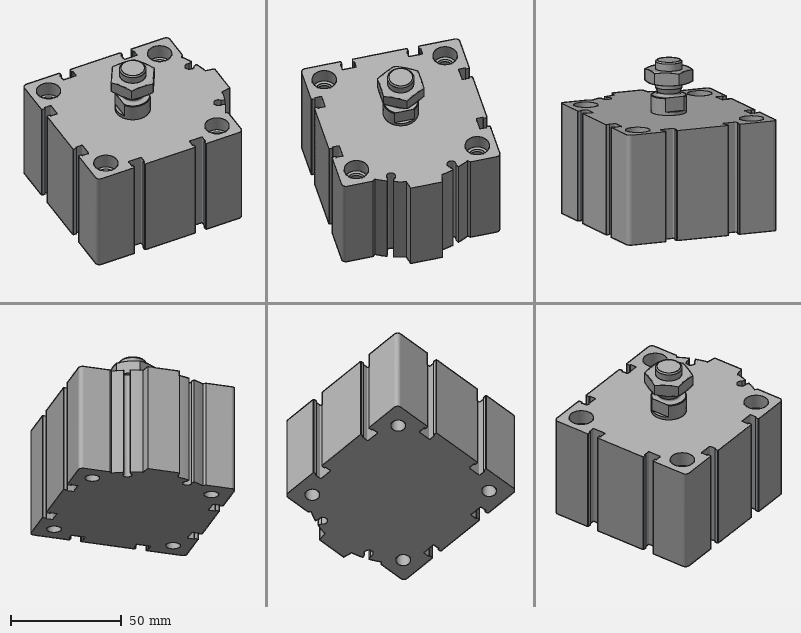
import cadquery as cq
import math


BODY_SIDE = 74.0
BODY_HEIGHT = 51.0
BODY_HALF = BODY_SIDE / 2
CORNER_RADIUS = 2.0

CROWN_RADIUS = 42.0
CROWN_HALF_WIDTH = 21.7
RELIEF_HALF_WIDTH = 22.8

RAIL_TOP_Y = 45.5
RAIL_TOP_HALF_WIDTH = 7.5
RAIL_BASE_HALF_WIDTH = 8.3

T_SLOT_OFFSET = 15.5
T_SLOT_DEPTH = 5.0
T_SLOT_LIP = 1.8
T_SLOT_MOUTH_WIDTH = 5.2
T_SLOT_INNER_WIDTH = 6.5
T_SLOT_EDGE_CHAMFER = 0.3
T_SLOT_FLOOR_FILLET = 0.3
T_SLOT_SIDES = (180, 270, 0)

GROOVE_ANGLE = 21.4
GROOVE_CENTRE_RADIUS = 38.8
GROOVE_DIAMETER = 4.0
GROOVE_MOUTH_WIDTH = 2.9

HOLE_PITCH = 56.5
HOLE_DIAMETER = 6.65
HOLE_CHAMFER_DIAMETER = 8.0
COUNTERBORE_DIAMETER = 11.0
COUNTERBORE_DEPTH = 7.0

ROD_DIAMETER = 16.0
ROD_SHOULDER_HEIGHT = 8.0
ROD_SHOULDER_CHAMFER = 0.3
ROD_LENGTH = 24.0
FLATS_WIDTH = 13.0
FLATS_START = 1.5
THREAD_DIAMETER = 12.0
THREAD_TIP_DIAMETER = 10.65
THREAD_START = 11.5
NECK_DIAMETER = 10.2
NECK_TOP = 9.3
NECK_FILLET = 0.8

NUT_ACROSS_FLATS = 19.0
NUT_THICKNESS = 6.0
NUT_BASE = 14.0
NUT_FACE_DIAMETER = 19.0
NUT_CHAMFER_ANGLE = 18.0


def polar(radius, degrees):
    angle = math.radians(degrees)
    return (radius * math.cos(angle), radius * math.sin(angle))


def crown_point(x):
    """Point of the crown arc at the given x."""
    return (x, math.sqrt(CROWN_RADIUS**2 - x**2))


def make_crown():
    """Rounded crown with the tapered rail, reaching down into the square block."""
    middle = (CROWN_HALF_WIDTH + RAIL_BASE_HALF_WIDTH) / 2
    return (
        cq.Workplane("XY")
        .moveTo(-CROWN_HALF_WIDTH, 0)
        .lineTo(*crown_point(-CROWN_HALF_WIDTH))
        .threePointArc(crown_point(-middle), crown_point(-RAIL_BASE_HALF_WIDTH))
        .lineTo(-RAIL_TOP_HALF_WIDTH, RAIL_TOP_Y)
        .lineTo(RAIL_TOP_HALF_WIDTH, RAIL_TOP_Y)
        .lineTo(*crown_point(RAIL_BASE_HALF_WIDTH))
        .threePointArc(crown_point(middle), crown_point(CROWN_HALF_WIDTH))
        .lineTo(CROWN_HALF_WIDTH, 0)
        .close()
        .extrude(BODY_HEIGHT)
    )


def make_block():
    """Square block whose +Y side is cut open where the crown rises from it."""
    block = (
        cq.Workplane("XY")
        .rect(BODY_SIDE, BODY_SIDE)
        .extrude(BODY_HEIGHT)
        .edges("|Z")
        .fillet(CORNER_RADIUS)
    )
    relief_bottom = crown_point(CROWN_HALF_WIDTH)[1]
    relief = (
        cq.Workplane("XY")
        .moveTo(-RELIEF_HALF_WIDTH, BODY_HALF)
        .lineTo(-CROWN_HALF_WIDTH, relief_bottom)
        .lineTo(CROWN_HALF_WIDTH, relief_bottom)
        .lineTo(RELIEF_HALF_WIDTH, BODY_HALF)
        .close()
        .extrude(BODY_HEIGHT)
    )
    return block.cut(relief)


def make_t_slot(offset, side_angle):
    """Cutter for one T-slot with bevelled mouth edges, on the side facing side_angle."""
    mouth = T_SLOT_MOUTH_WIDTH / 2
    inner = T_SLOT_INNER_WIDTH / 2
    bevel = T_SLOT_EDGE_CHAMFER
    half_outline = [
        (BODY_HALF, mouth + bevel),
        (BODY_HALF - bevel, mouth),
        (BODY_HALF - T_SLOT_LIP, mouth),
        (BODY_HALF - T_SLOT_LIP, inner),
        (BODY_HALF - T_SLOT_DEPTH, inner),
    ]
    other_half = [(x, -y) for x, y in reversed(half_outline)]
    return (
        cq.Workplane("XY")
        .polyline(half_outline + other_half)
        .close()
        .extrude(BODY_HEIGHT)
        .edges("|Z and <X")
        .fillet(T_SLOT_FLOOR_FILLET)
        .translate((0, offset, 0))
        .rotate((0, 0, 0), (0, 0, 1), side_angle)
    )


def make_sensor_groove(degrees):
    """Cutter for a round groove that opens radially through the crown."""
    mouth_length = RAIL_TOP_Y - GROOVE_CENTRE_RADIUS
    mouth = (
        cq.Workplane("XY")
        .center(GROOVE_CENTRE_RADIUS + mouth_length / 2, 0)
        .rect(mouth_length, GROOVE_MOUTH_WIDTH)
        .extrude(BODY_HEIGHT)
        .rotate((0, 0, 0), (0, 0, 1), degrees)
    )
    groove = (
        cq.Workplane("XY")
        .center(*polar(GROOVE_CENTRE_RADIUS, degrees))
        .circle(GROOVE_DIAMETER / 2)
        .extrude(BODY_HEIGHT)
    )
    return groove.union(mouth)


def make_mounting_hole():
    """Cutter on the Z axis: through hole, chamfer and counterbore from the top."""
    hole = HOLE_DIAMETER / 2
    chamfer = HOLE_CHAMFER_DIAMETER / 2
    counterbore = COUNTERBORE_DIAMETER / 2
    floor = BODY_HEIGHT - COUNTERBORE_DEPTH
    profile = [
        (0, 0),
        (hole, 0),
        (hole, floor - (chamfer - hole)),
        (chamfer, floor),
        (counterbore, floor),
        (counterbore, BODY_HEIGHT),
        (0, BODY_HEIGHT),
    ]
    return cq.Workplane("XZ").polyline(profile).close().revolve(360, (0, 0), (0, 1))


def make_housing():
    housing = make_block().union(make_crown())
    for side_angle in T_SLOT_SIDES:
        for offset in (-T_SLOT_OFFSET, T_SLOT_OFFSET):
            housing = housing.cut(make_t_slot(offset, side_angle))
    for tilt in (-GROOVE_ANGLE, GROOVE_ANGLE):
        housing = housing.cut(make_sensor_groove(90 + tilt))
    for x in (-HOLE_PITCH / 2, HOLE_PITCH / 2):
        for y in (-HOLE_PITCH / 2, HOLE_PITCH / 2):
            housing = housing.cut(make_mounting_hole().translate((x, y, 0)))
    return housing


def make_rod():
    """Stepped rod with an undercut below its threaded end and two wrench flats."""
    rod = ROD_DIAMETER / 2
    neck = NECK_DIAMETER / 2
    thread = THREAD_DIAMETER / 2
    tip = THREAD_TIP_DIAMETER / 2
    fillet_middle = NECK_FILLET * (1 - math.sqrt(0.5))
    turned = (
        cq.Workplane("XZ")
        .lineTo(rod, 0)
        .lineTo(rod, ROD_SHOULDER_HEIGHT - ROD_SHOULDER_CHAMFER)
        .lineTo(rod - ROD_SHOULDER_CHAMFER, ROD_SHOULDER_HEIGHT)
        .lineTo(neck + NECK_FILLET, ROD_SHOULDER_HEIGHT)
        .threePointArc(
            (neck + fillet_middle, ROD_SHOULDER_HEIGHT + fillet_middle),
            (neck, ROD_SHOULDER_HEIGHT + NECK_FILLET),
        )
        .lineTo(neck, NECK_TOP)
        .lineTo(thread, THREAD_START)
        .lineTo(thread, ROD_LENGTH - (thread - tip))
        .lineTo(tip, ROD_LENGTH)
        .lineTo(0, ROD_LENGTH)
        .close()
        .revolve(360, (0, 0), (0, 1))
    )
    flats_zone = (
        cq.Workplane("XY")
        .workplane(offset=FLATS_START)
        .rect(ROD_DIAMETER, ROD_DIAMETER)
        .rect(ROD_DIAMETER, FLATS_WIDTH)
        .extrude(ROD_SHOULDER_HEIGHT - FLATS_START)
    )
    return turned.cut(flats_zone).translate((0, 0, BODY_HEIGHT))


def make_nut():
    """Hexagon nut with corners towards +Y and -Y, chamfered on both faces."""
    corner_diameter = NUT_ACROSS_FLATS / math.cos(math.pi / 6)
    corner = corner_diameter / 2
    face = NUT_FACE_DIAMETER / 2
    chamfer_height = (corner - face) * math.tan(math.radians(NUT_CHAMFER_ANGLE))
    hexagon = (
        cq.Workplane("XY")
        .polygon(6, corner_diameter)
        .extrude(NUT_THICKNESS)
        .rotate((0, 0, 0), (0, 0, 1), 90)
    )
    chamfer_envelope = (
        cq.Workplane("XY")
        .circle(corner)
        .extrude(NUT_THICKNESS)
        .faces("<Z or >Z")
        .chamfer(chamfer_height, corner - face)
    )
    bore = cq.Workplane("XY").circle(THREAD_DIAMETER / 2).extrude(NUT_THICKNESS)
    nut = hexagon.intersect(chamfer_envelope).cut(bore)
    return nut.translate((0, 0, BODY_HEIGHT + NUT_BASE))


housing = make_housing()
rod = make_rod()
nut = make_nut()

result = cq.Compound.makeCompound([housing.val(), rod.val(), nut.val()])